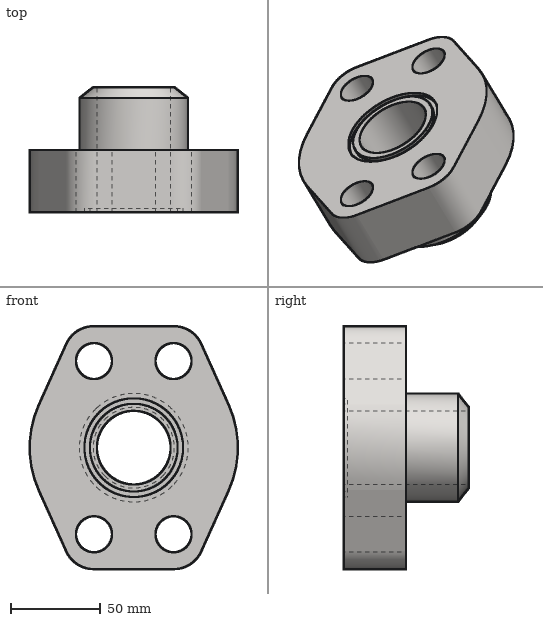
import cadquery as cq
import math

height = 136.0
width = 116.5
plate_thickness = 35.0
side_radius = width / 2
corner_radius = 17.0
corner_x = 22.3
corner_z = height / 2 - corner_radius

bolt_spacing_x = 44.5
bolt_spacing_z = 96.8
bolt_diameter = 20.0

total_depth = 70.0
neck_diameter = 60.8
neck_bevel_length = 6.1
neck_bevel_height = 7.8
bore_diameter = 41.1

groove_outer_diameter = 55.2
groove_inner_diameter = 49.1
groove_depth = 2.2


def arc_point(center_x, center_z, radius, angle):
    return (center_x + radius * math.cos(angle), center_z + radius * math.sin(angle))


def mirrored_x(point):
    return (-point[0], point[1])


def mirrored_z(point):
    return (point[0], -point[1])


def rotated(point):
    return (-point[0], -point[1])


def flange_plate():
    center_distance = math.hypot(corner_x, corner_z)
    normal = math.atan2(corner_z, corner_x) - math.acos((side_radius - corner_radius) / center_distance)
    side_end = arc_point(0, 0, side_radius, normal)
    corner_start = arc_point(corner_x, corner_z, corner_radius, normal)
    corner_middle = arc_point(corner_x, corner_z, corner_radius, (normal + math.pi / 2) / 2)
    corner_end = (corner_x, height / 2)
    outline = (
        cq.Workplane("XZ")
        .moveTo(*mirrored_z(side_end))
        .threePointArc((side_radius, 0), side_end)
        .lineTo(*corner_start)
        .threePointArc(corner_middle, corner_end)
        .lineTo(*mirrored_x(corner_end))
        .threePointArc(mirrored_x(corner_middle), mirrored_x(corner_start))
        .lineTo(*mirrored_x(side_end))
        .threePointArc((-side_radius, 0), rotated(side_end))
        .lineTo(*rotated(corner_start))
        .threePointArc(rotated(corner_middle), rotated(corner_end))
        .lineTo(*mirrored_z(corner_end))
        .threePointArc(mirrored_z(corner_middle), mirrored_z(corner_start))
        .close()
    )
    return outline.extrude(-plate_thickness)


def welding_neck():
    radius = neck_diameter / 2
    return (
        cq.Workplane("XY")
        .polyline([
            (0, 0),
            (radius, 0),
            (radius, total_depth - neck_bevel_length),
            (radius - neck_bevel_height, total_depth),
            (0, total_depth),
        ])
        .close()
        .revolve(360, (0, 0, 0), (0, 1, 0))
    )


def bolt_holes():
    return (
        cq.Workplane("XZ")
        .rarray(bolt_spacing_x, bolt_spacing_z, 2, 2)
        .circle(bolt_diameter / 2)
        .extrude(-plate_thickness)
    )


def seal_groove():
    return (
        cq.Workplane("XZ")
        .circle(groove_outer_diameter / 2)
        .circle(groove_inner_diameter / 2)
        .extrude(-groove_depth)
    )


bore = cq.Workplane("XZ").circle(bore_diameter / 2).extrude(-total_depth)

result = flange_plate().union(welding_neck()).cut(bolt_holes()).cut(bore).cut(seal_groove())